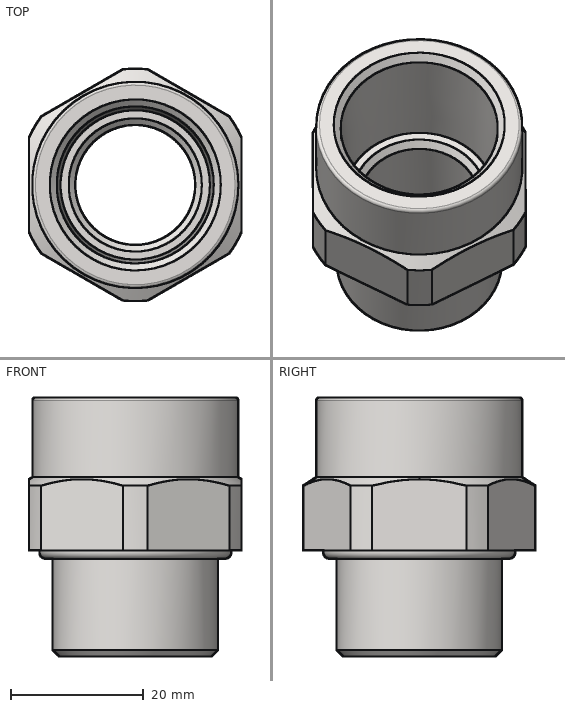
import cadquery as cq

total_height = 39.0
hex_bottom = 16.0
hex_top = 27.0

socket_radius = 15.52
rim_fillet = 0.5
spigot_radius = 12.48
spigot_chamfer = 1.0
hex_across_flats = 32.0
hex_corner_radius = 17.5
hex_bevel_height = 1.3

passage_radius = 9.0
bore_chamfer = 1.0
mouth_radius = 12.87
taper_top_radius = 11.8
taper_bottom_radius = 11.25
taper_length = 18.72
mouth_chamfer_height = mouth_radius - taper_top_radius
socket_floor = total_height - mouth_chamfer_height - taper_length

ring_section_diameter = 2.0
ring_protrusion = 1.3
ring_section_radius = ring_section_diameter / 2
ring_centre_radius = spigot_radius + ring_section_radius
ring_centre_height = hex_bottom - ring_protrusion + ring_section_radius
groove_outer_radius = spigot_radius + ring_section_diameter
groove_top = hex_bottom - ring_protrusion + ring_section_diameter


def cylinder(radius, bottom, top):
    """Upright cylinder between two heights."""
    return cq.Workplane("XY").workplane(offset=bottom).circle(radius).extrude(top - bottom)


def make_hexagon():
    """Hexagon with flats facing X, turned corners and a bevelled upper edge."""
    hexagon = (
        cq.Workplane("XY")
        .workplane(offset=hex_bottom)
        .polygon(6, hex_across_flats, circumscribed=True)
        .extrude(hex_top - hex_bottom)
    )
    bevel_width = hex_corner_radius - socket_radius
    turned_envelope = (
        cylinder(hex_corner_radius, hex_bottom, hex_top)
        .faces(">Z")
        .edges()
        .chamfer(hex_bevel_height, bevel_width)
    )
    return hexagon.intersect(turned_envelope)


def make_bore():
    """Revolved cutter for the passage, its chamfered step and the tapered socket."""
    step_radius = passage_radius + bore_chamfer
    profile = [
        (0, 0),
        (passage_radius, 0),
        (passage_radius, socket_floor - bore_chamfer),
        (step_radius, socket_floor),
        (taper_bottom_radius, socket_floor),
        (taper_top_radius, total_height - mouth_chamfer_height),
        (mouth_radius, total_height),
        (0, total_height),
    ]
    return cq.Workplane("XZ").polyline(profile).close().revolve(360, (0, 0), (0, 1))


def make_ring_groove():
    """Annular cutter for the seat that takes the upper part of the O-ring."""
    outer = cylinder(groove_outer_radius, hex_bottom, groove_top)
    return outer.cut(cylinder(spigot_radius, hex_bottom, groove_top))


def make_fitting():
    """Hexagonal fitting with a spigot below and a socket above."""
    spigot = cylinder(spigot_radius, 0, hex_bottom).faces("<Z").edges().chamfer(spigot_chamfer)
    socket = cylinder(socket_radius, hex_bottom, total_height).faces(">Z").edges().fillet(rim_fillet)
    body = spigot.union(socket).union(make_hexagon())
    return body.cut(make_bore()).cut(make_ring_groove())


def make_sealing_ring():
    """O-ring of round section lying around the top of the spigot."""
    return (
        cq.Workplane("XZ")
        .center(ring_centre_radius, ring_centre_height)
        .circle(ring_section_radius)
        .revolve(360, (-ring_centre_radius, 0), (-ring_centre_radius, 1))
    )


fitting = make_fitting()
sealing_ring = make_sealing_ring()

result = cq.Compound.makeCompound([fitting.val(), sealing_ring.val()])